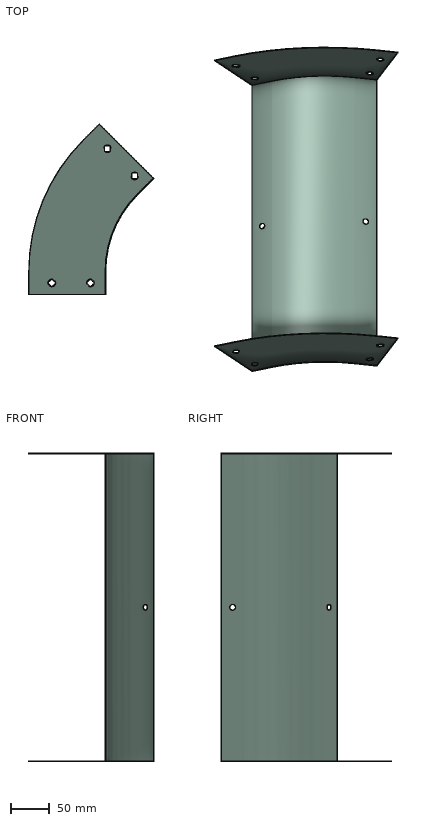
import cadquery as cq

height = 400.0
width = 100.0
sheet = 1.0
bend_angle = 45.0
inner_radius = 140.0
straight = 30.0

hole_diameter = 7.0
slot_length = 10.0
slot_width = 7.0
slot_tilt = 45.0
slot_spacing = 50.0
slot_from_wall = 20.0
hole_from_end = straight / 2

bend_x = width + inner_radius
bend_y = straight


def near_end(shape):
    """Move a shape drawn relative to the bend axis to the near end."""
    return shape.translate((bend_x, bend_y, 0))


def far_end(shape):
    """Turn a shape from the near end round to the far end."""
    return near_end(shape.rotate((0, 0, 0), (0, 0, 1), -bend_angle))


def bend_band(small_radius, large_radius, depth):
    """Curved band with a tangent straight at each end."""
    radial_width = large_radius - small_radius
    arc = (
        cq.Workplane("XZ")
        .moveTo(-(small_radius + large_radius) / 2, depth / 2)
        .rect(radial_width, depth)
        .revolve(bend_angle, (0, 0, 0), (0, -1, 0))
    )
    leg = cq.Workplane("XY").box(radial_width, straight, depth, centered=(False, False, False))
    near_leg = leg.translate((-large_radius, -straight, 0))
    far_leg = leg.translate((-large_radius, 0, 0))
    return near_end(arc).union(near_end(near_leg)).union(far_end(far_leg))


def plate_slots(base_z, tilt):
    """Pair of slots through one plate, each a circle with two flat sides."""
    first_x = -inner_radius - slot_from_wall
    slot = (
        cq.Workplane("XY")
        .circle(slot_length / 2)
        .extrude(sheet)
        .intersect(cq.Workplane("XY").rect(slot_length, slot_width).extrude(sheet))
        .rotate((0, 0, 0), (0, 0, 1), 90 + tilt)
        .val()
    )
    return (
        cq.Workplane("XY", origin=(0, 0, base_z))
        .pushPoints([(first_x, 0), (first_x - slot_spacing, 0)])
        .eachpoint(lambda place: slot.moved(place), combine=False)
    )


def wall_hole():
    """Round hole through the wall at mid height, relative to the bend axis."""
    return (
        cq.Workplane("YZ", origin=(-inner_radius - 2 * sheet, 0, height / 2))
        .circle(hole_diameter / 2)
        .extrude(4 * sheet)
    )


outer_radius = inner_radius + width
plate = bend_band(inner_radius, outer_radius, sheet)
wall = bend_band(inner_radius, inner_radius + sheet, height)
result = wall.union(plate).union(plate.translate((0, 0, height - sheet)))

lower_slots = plate_slots(0, -slot_tilt)
upper_slots = plate_slots(height - sheet, slot_tilt)
for cutter in (lower_slots, upper_slots, wall_hole()):
    result = result.cut(near_end(cutter.translate((0, hole_from_end - straight, 0))))
    result = result.cut(far_end(cutter.translate((0, straight - hole_from_end, 0))))